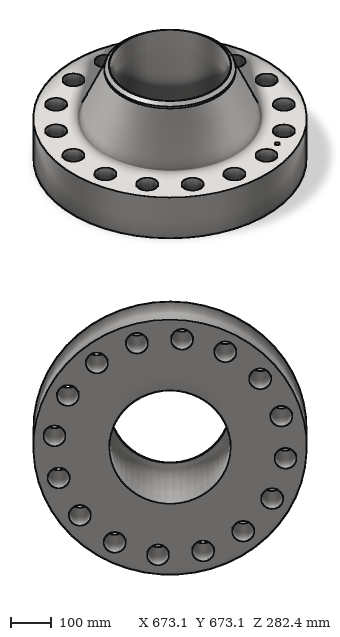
import cadquery as cq
import math

INCH = 25.4

flange_diameter = 26.5 * INCH
flange_thickness = 4.88 * INCH
overall_height = 11.12 * INCH

hub_base_diameter = 17.75 * INCH
neck_diameter = 12.75 * INCH
bore_diameter = 11.75 * INCH
hub_fillet_radius = 3.0

land_width = 1.6
bevel_angle = 37.5
neck_straight_height = 6.0

bolt_circle_diameter = 22.5 * INCH
bolt_hole_diameter = 2.125 * INCH
bolt_hole_count = 16

small_hole_diameter = 0.5 * INCH
small_hole_depth = 10.0
small_hole_step_diameter = 7.0
small_hole_step_depth = 20.0

neck_radius = neck_diameter / 2
bore_radius = bore_diameter / 2
bevel_width = neck_radius - bore_radius - land_width
bevel_height = bevel_width * math.tan(math.radians(bevel_angle))
bevel_base_height = overall_height - bevel_height
taper_top_height = bevel_base_height - neck_straight_height
bolt_spacing = 360 / bolt_hole_count


def make_flange_ring():
    return cq.Workplane("XY").circle(flange_diameter / 2).extrude(flange_thickness)


def make_hub():
    """Revolve the tapered hub, its straight neck end and the weld bevel about Z."""
    profile = (
        cq.Workplane("XZ")
        .moveTo(0, 0)
        .lineTo(hub_base_diameter / 2, 0)
        .lineTo(hub_base_diameter / 2, flange_thickness)
        .lineTo(neck_radius, taper_top_height)
        .lineTo(neck_radius, bevel_base_height)
        .lineTo(neck_radius - bevel_width, overall_height)
        .lineTo(0, overall_height)
        .close()
    )
    return profile.revolve(360, (0, 0, 0), (0, 1, 0))


def fillet_hub_base(body):
    """Round the corner where the hub meets the flange, the second largest circle of the body."""
    second_largest = cq.selectors.RadiusNthSelector(-2)
    return body.edges("%CIRCLE").edges(second_largest).fillet(hub_fillet_radius)


def make_bore():
    return cq.Workplane("XY").circle(bore_radius).extrude(overall_height)


def make_bolt_holes():
    return (
        cq.Workplane("XY")
        .polarArray(bolt_circle_diameter / 2, 0, 360, bolt_hole_count)
        .circle(bolt_hole_diameter / 2)
        .extrude(flange_thickness)
    )


def make_small_hole():
    """Stepped blind hole on the bolt circle, sunk from the flange face."""
    angle = math.radians(bolt_spacing / 2)
    bolt_circle_radius = bolt_circle_diameter / 2
    center_x = bolt_circle_radius * math.cos(angle)
    center_y = bolt_circle_radius * math.sin(angle)
    face = cq.Workplane("XY", origin=(center_x, center_y, flange_thickness))
    wide_part = face.circle(small_hole_diameter / 2).extrude(-small_hole_depth)
    narrow_part = face.circle(small_hole_step_diameter / 2).extrude(-small_hole_step_depth)
    return wide_part.union(narrow_part)


body = fillet_hub_base(make_flange_ring().union(make_hub()))
result = body.cut(make_bore()).cut(make_bolt_holes()).cut(make_small_hole())